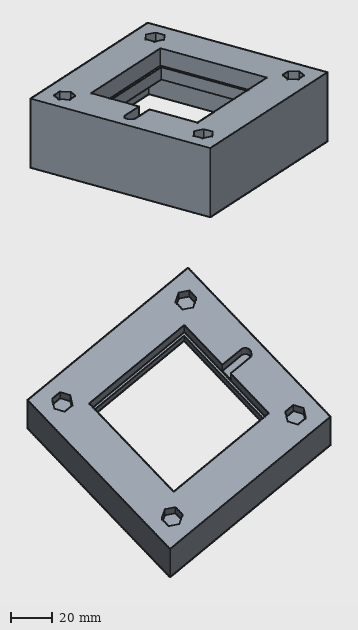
import cadquery as cq
import math

side = 104.0
height = 37.0

upper_window = 61.6
lower_window = 58.8
cover_thickness = 8.0
gasket_thickness = 1.2
ledge_depth = cover_thickness + gasket_thickness

wall = 2.0
roof_depth = 15.8
cavity_side = side - 2 * wall
cavity_height = height - roof_depth

nut_offset = 40.0
nut_across_flats = 9.0
nut_across_corners = nut_across_flats / math.cos(math.pi / 6)

slot_width = 6.0
slot_end = 46.0
slot_length = 2 * slot_end


def square_prism(width, bottom, top):
    """Square prism centred on the Z axis between two heights."""
    return cq.Workplane("XY").workplane(offset=bottom).rect(width, width).extrude(top - bottom)


def nut_pocket(x, y, turn):
    """Hexagonal pocket tool at (x, y), turned by an angle in degrees."""
    hexagon = cq.Workplane("XY").polygon(6, nut_across_corners).extrude(cover_thickness)
    turned = hexagon.rotate((0, 0, 0), (0, 0, 1), turn)
    return turned.translate((x, y, height - cover_thickness))


def slot():
    """Slot tool reaching from the middle of the window to the round end."""
    full_slot = cq.Workplane("XY").slot2D(slot_length, slot_width, 90).extrude(cover_thickness)
    half_plane = cq.Workplane("XY").box(side, side, height).translate((0, -side / 2, 0))
    return full_slot.intersect(half_plane).translate((0, 0, height - cover_thickness))


result = square_prism(side, 0, height)
result = result.cut(square_prism(cavity_side, 0, cavity_height))
result = result.cut(square_prism(lower_window, cavity_height, height))
result = result.cut(square_prism(upper_window, height - ledge_depth, height))
result = result.cut(slot())

for x_sign in (-1, 1):
    for y_sign in (-1, 1):
        turn = 30 if x_sign == y_sign else 0
        result = result.cut(nut_pocket(x_sign * nut_offset, y_sign * nut_offset, turn))